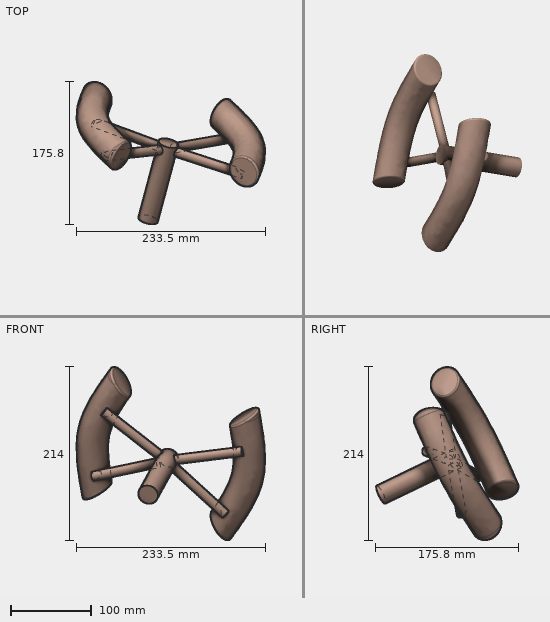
import cadquery as cq

ACROSS = (-0.953, 0.126, 0.275)
COLUMN_AXIS = (0.233, 0.874, 0.421)

COLUMN_DIAMETER = 25.0
COLUMN_LENGTH = 107.5
COLUMN_BEYOND_HUB = 8.5

SPOKE_DIAMETER = 12.0
SPOKE_LENGTH = 99.0
SPOKE_ANGLES = (25, -30)

GRIP_DIAMETER = 39.5
GRIP_HEIGHT = 20.8
GRIP_END_X = 79.3
GRIP_END_Y = 78.5
GRIP_MIDDLE_X = 99.5
GRIP_END_FILLET = 2.3
END_SLOPE_RATIO = 1.5


def make_column():
    bottom = COLUMN_BEYOND_HUB - COLUMN_LENGTH
    return cq.Workplane("XY", origin=(0, 0, bottom)).circle(COLUMN_DIAMETER / 2).extrude(COLUMN_LENGTH)


def make_spoke(angle):
    spoke = cq.Workplane("YZ").circle(SPOKE_DIAMETER / 2).extrude(SPOKE_LENGTH)
    return spoke.rotate((0, 0, 0), (0, 0, 1), angle)


def make_grip():
    """Round bar bent outward, on the +X side of the wheel, with end faces in planes through the hub."""
    lower_end = cq.Vector(GRIP_END_X, -GRIP_END_Y, GRIP_HEIGHT)
    middle = cq.Vector(GRIP_MIDDLE_X, 0, GRIP_HEIGHT)
    upper_end = cq.Vector(GRIP_END_X, GRIP_END_Y, GRIP_HEIGHT)

    end_slope = END_SLOPE_RATIO * (GRIP_MIDDLE_X - GRIP_END_X) / GRIP_END_Y
    lower_direction = cq.Vector(end_slope, 1, 0).normalized()
    upper_direction = cq.Vector(-end_slope, 1, 0).normalized()
    lower_tip = lower_end - lower_direction * GRIP_DIAMETER
    upper_tip = upper_end + upper_direction * GRIP_DIAMETER
    bend = cq.Edge.makeSpline(
        [lower_end, middle, upper_end], tangents=[lower_direction, upper_direction]
    )
    path = cq.Wire.assembleEdges(
        [cq.Edge.makeLine(lower_tip, lower_end), bend, cq.Edge.makeLine(upper_end, upper_tip)]
    )
    start_plane = cq.Plane(origin=lower_tip, xDir=(0, 0, 1), normal=lower_direction)
    bar = cq.Workplane(start_plane).circle(GRIP_DIAMETER / 2).sweep(path)

    wedge_x = 2 * GRIP_MIDDLE_X
    wedge_y = wedge_x * GRIP_END_Y / GRIP_END_X
    wedge = (
        cq.Workplane("XY")
        .polyline([(0, 0), (wedge_x, -wedge_y), (wedge_x, wedge_y)])
        .close()
        .extrude(2 * GRIP_HEIGHT)
    )
    return bar.intersect(wedge).faces("%PLANE").edges().fillet(GRIP_END_FILLET)


half = make_grip()
for spoke_angle in SPOKE_ANGLES:
    half = half.union(make_spoke(spoke_angle))
wheel = make_column().union(half).union(half.mirror("YZ"))

wheel_plane = cq.Plane(origin=(0, 0, 0), xDir=ACROSS, normal=COLUMN_AXIS)
result = cq.Workplane(wheel.val().moved(cq.Location(wheel_plane)))